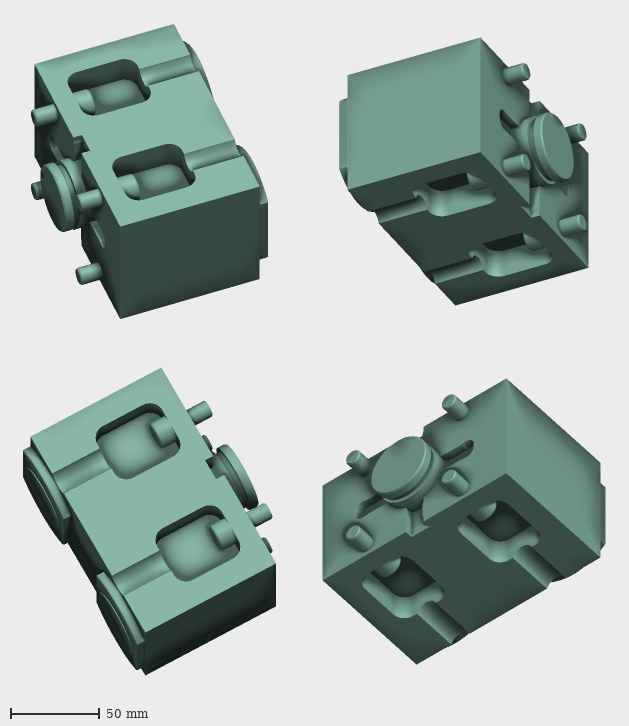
import cadquery as cq

body_width = 134.0
body_depth = 85.0
body_height = 78.0
half_height = body_height / 2

spigot_dia = 39.9
spigot_length = 15.0
spigot_chamfer_length = 1.1
spigot_chamfer_width = 0.5
groove_dia = 35.0
groove_start = 5.8
groove_width = 3.9
groove_root_fillet = 0.3

slot_depth = 5.2
slot_width = 12.9
slot_half_width = slot_width / 2
land_gap = 11.9
land_half_width = land_gap / 2
land_centre = 29.0
land_length = 9.8
land_ramp = 1.9
blind_slot_reach = 43.1
blind_slot_radius = 5.2

screw_spacing_x = 69.8
screw_spacing_z = 61.9
screw_x = screw_spacing_x / 2
screw_z = screw_spacing_z / 2
shank_dia = 10.0
shank_protrusion = 13.0
shank_tip_dia = 9.0
shank_chamfer_length = 1.0
shank_chamfer_width = (shank_dia - shank_tip_dia) / 2
head_dia = 16.0
head_length = 10.0
head_fillet = 1.5

pocket_width = 35.2
pocket_length = 42.1
pocket_depth = 17.3
pocket_radius = 8.0
pocket_front = 11.9
pocket_centre_y = pocket_front + pocket_length / 2
channel_width = 13.7
channel_depth = 4.8

plate_x = 42.9
plate_dia = 66.2
plate_width = 47.5
plate_thickness = 5.5
plate_chamfer = 0.5
cover_dia = 40.0
cover_thickness = 0.5


def rod(x, z, dia, y_start, y_end):
    """Cylinder along Y between two Y positions."""
    plane = cq.Workplane("XZ", origin=(x, y_start, z))
    return plane.circle(dia / 2).extrude(y_start - y_end)


def make_body():
    body = cq.Workplane("XY").box(body_width, body_depth, body_height)
    return body.translate((0, body_depth / 2, 0))


def make_slot(reach):
    """Slot along X, both sides slightly narrowed by ramped lands."""
    half_land = land_length / 2
    side = [
        (land_centre - half_land - land_ramp, slot_half_width),
        (land_centre - half_land, land_half_width),
        (land_centre + half_land, land_half_width),
        (land_centre + half_land + land_ramp, slot_half_width),
        (reach, slot_half_width),
    ]
    right_half = side + [(x, -z) for x, z in reversed(side)]
    outline = right_half + [(-x, -z) for x, z in right_half]
    return cq.Workplane("XZ").polyline(outline).close().extrude(-slot_depth)


def make_slot_cross():
    blind_slot = make_slot(blind_slot_reach)
    blind_slot = blind_slot.edges("|Y and (<X or >X)").fillet(blind_slot_radius)
    open_slot = make_slot(half_height).rotate((0, 0, 0), (0, 1, 0), 90)
    return blind_slot.union(open_slot)


def make_spigot():
    spigot = rod(0, 0, spigot_dia, slot_depth, -spigot_length)
    spigot = spigot.faces("<Y").chamfer(spigot_chamfer_length, spigot_chamfer_width)
    groove_end = groove_start + groove_width
    groove = rod(0, 0, spigot_dia, -groove_start, -groove_end)
    core = rod(0, 0, groove_dia, -groove_start, -groove_end)
    spigot = spigot.cut(groove.cut(core))
    return spigot.edges(cq.selectors.RadiusNthSelector(0)).fillet(groove_root_fillet)


def make_pocket(x, side):
    """Rounded pocket opening upward (side = 1) or downward (side = -1)."""
    pocket = cq.Workplane("XY").box(pocket_width, pocket_length, pocket_depth)
    pocket = pocket.edges("|Z").fillet(pocket_radius)
    return pocket.translate((x, pocket_centre_y, side * (half_height - pocket_depth / 2)))


def make_channel(x, side):
    """Circular-arc channel from the pocket to the rear face."""
    channel_dia = channel_depth + (channel_width / 2) ** 2 / channel_depth
    axis_z = half_height - channel_depth + channel_dia / 2
    return rod(x, side * axis_z, channel_dia, pocket_centre_y, body_depth)


def make_screw(x, z):
    shank = rod(x, z, shank_dia, pocket_front, -shank_protrusion)
    shank = shank.faces("<Y").chamfer(shank_chamfer_length, shank_chamfer_width)
    head = rod(x, z, head_dia, pocket_front, pocket_front + head_length)
    head = head.faces(">Y").edges().fillet(head_fillet)
    return shank.union(head)


def make_plate(x):
    plate_back = body_depth + plate_thickness
    plate = rod(x, 0, plate_dia, body_depth, plate_back)
    flats = cq.Workplane("XY").box(plate_width, 2 * plate_back, plate_dia)
    flats = flats.translate((x, plate_back, 0))
    plate = plate.intersect(flats).faces("<Y or >Y").chamfer(plate_chamfer)
    cover = rod(x, 0, cover_dia, plate_back, plate_back + cover_thickness)
    return plate.union(cover)


result = make_body().cut(make_slot_cross())
result = result.union(make_spigot())
for x in (-screw_x, screw_x):
    for side in (-1, 1):
        result = result.cut(make_pocket(x, side))
        result = result.cut(make_channel(x, side))
        result = result.union(make_screw(x, side * screw_z))
for x in (-plate_x, plate_x):
    result = result.union(make_plate(x))